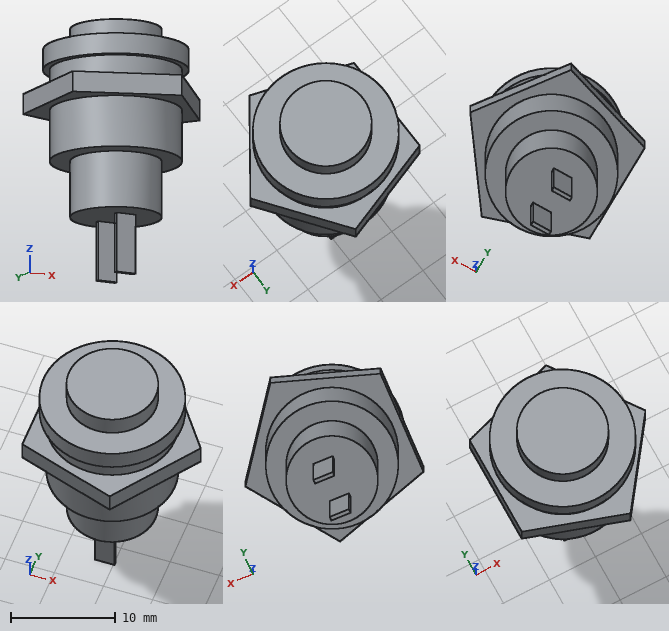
import cadquery as cq


BUTTON_DIAMETER = 8.8
BUTTON_HEIGHT = 2.0
BEZEL_DIAMETER = 14.0
BEZEL_HEIGHT = 2.0
BARREL_DIAMETER = 12.7
BARREL_LENGTH = 9.0
REAR_DIAMETER = BUTTON_DIAMETER
REAR_LENGTH = 5.5
REAR_END_Z = -(BARREL_LENGTH + REAR_LENGTH)

NUT_SIDES = 5
NUT_CORNER_DIAMETER = 18.0
NUT_THICKNESS = 2.0
NUT_TOP_Z = -2.0

TERMINAL_WIDTH = 2.0
TERMINAL_THICKNESS = 0.4
TERMINAL_LENGTH = 5.8
TERMINAL_SPACING = 4.0
TERMINAL_GAP = 0.1


def cylinder(diameter, bottom_z, height):
    return cq.Workplane("XY").workplane(offset=bottom_z).circle(diameter / 2).extrude(height)


def make_housing():
    """Button, bezel, barrel, nut and rear section as one stepped solid."""
    button = cylinder(BUTTON_DIAMETER, BEZEL_HEIGHT, BUTTON_HEIGHT)
    bezel = cylinder(BEZEL_DIAMETER, 0, BEZEL_HEIGHT)
    barrel = cylinder(BARREL_DIAMETER, -BARREL_LENGTH, BARREL_LENGTH)
    rear = cylinder(REAR_DIAMETER, REAR_END_Z, REAR_LENGTH)
    nut = (
        cq.Workplane("XY")
        .workplane(offset=NUT_TOP_Z - NUT_THICKNESS)
        .polygon(NUT_SIDES, NUT_CORNER_DIAMETER)
        .extrude(NUT_THICKNESS)
    )
    return barrel.union(bezel).union(button).union(rear).union(nut)


def make_terminal(center_y):
    """Flat blade hanging just below the rear section."""
    return (
        cq.Workplane("XY")
        .workplane(offset=REAR_END_Z - TERMINAL_GAP)
        .center(0, center_y)
        .rect(TERMINAL_WIDTH, TERMINAL_THICKNESS)
        .extrude(-TERMINAL_LENGTH)
    )


housing = make_housing()
terminals = [make_terminal(side * TERMINAL_SPACING / 2) for side in (-1, 1)]

result = cq.Compound.makeCompound([housing.val(), *[terminal.val() for terminal in terminals]])